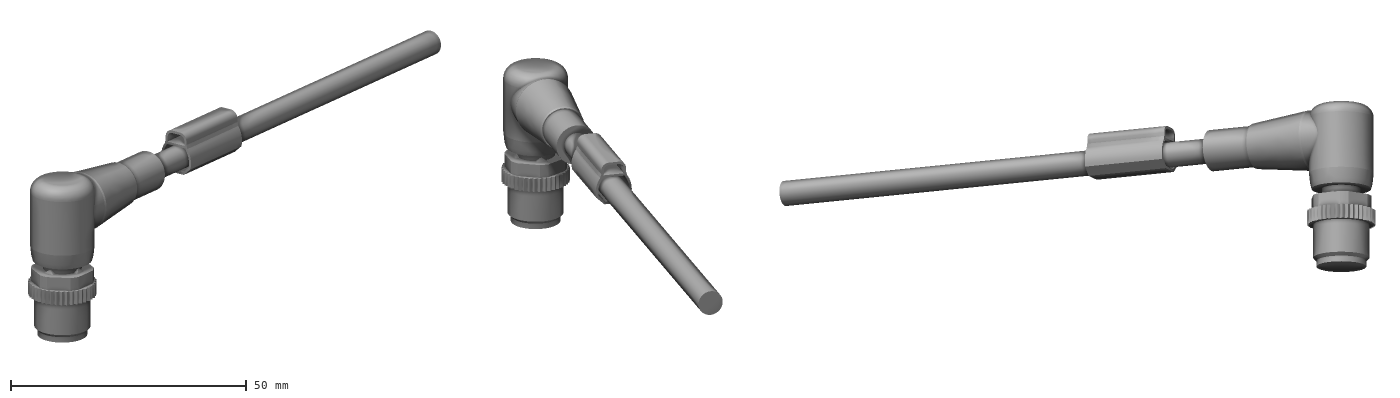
import cadquery as cq
import math

overall_length = 137.3
overall_height = 35.0

knurl_diameter = 14.5
knurl_root_diameter = 13.6
knurl_tooth_count = 40
knurl_bottom = 9.0
knurl_top = 12.1
nut_bottom = 1.2
nut_top = 15.0
sleeve_diameter = 12.0
sleeve_chamfer = 0.7
hex_across_flats = 12.4
hex_corner_diameter = 13.3

ridge_count = 4
ridge_height = 0.7
ridge_outer_radius = 5.0
ridge_top_radius = 4.4
ridge_base_width = 2.3
ridge_top_width = 0.4

neck_diameter = 8.2
carrier_foot_diameter = 10.6

elbow_diameter = 13.7
elbow_bottom = 16.9
elbow_bottom_diameter = 12.6
elbow_taper_height = 3.3
elbow_top_fillet = 2.7
cable_axis_z = 28.0
arm_diameter = 12.6
cone_start_y = 7.0
cone_end_y = 20.3
cone_large_diameter = 12.9
cone_small_diameter = 9.7
cone_end_diameter = 9.3
cone_bevel = 0.4
collar_diameter = 8.8
collar_end_y = 30.3

cable_diameter = 5.4
cable_end_y = overall_length - knurl_diameter / 2

marker_start_y = 40.1
marker_length = 18.0
marker_half_width = 4.0
marker_widest_z = 27.9
marker_bottom = 24.7
marker_bottom_half_width = 2.0
marker_lower_edge_z = 26.4
marker_lower_edge_half_width = 3.8
rail_half_width = 2.7
rail_corner_radius = 1.6
rail_top = 34.0
marker_wall = 0.5
web_bottom = 30.7
web_thickness = 0.5
rail_foot_z = 31.6
shoulder_z = 30.7
shoulder_half_width = 3.0


def upright_cylinder(diameter, bottom, top):
    return cq.Workplane("XY").workplane(offset=bottom).circle(diameter / 2).extrude(top - bottom)


def cable_cylinder(diameter, start_y, end_y):
    """Cylinder on the cable axis between two Y positions."""
    plane = cq.Plane(origin=(0, start_y, cable_axis_z), xDir=(-1, 0, 0), normal=(0, 1, 0))
    return cq.Workplane(plane).circle(diameter / 2).extrude(end_y - start_y)


def make_elbow():
    radius = elbow_diameter / 2
    bottom_radius = elbow_bottom_diameter / 2
    wall_bottom = elbow_bottom + elbow_taper_height
    head = (
        cq.Workplane("XZ")
        .moveTo(0, overall_height)
        .lineTo(-radius + elbow_top_fillet, overall_height)
        .radiusArc((-radius, overall_height - elbow_top_fillet), -elbow_top_fillet)
        .lineTo(-radius, wall_bottom)
        .tangentArcPoint((-bottom_radius, elbow_bottom), relative=False)
        .lineTo(0, elbow_bottom)
        .close()
        .revolve(360, (0, 0, 0), (0, 1, 0))
    )
    arm_radius = arm_diameter / 2
    collar_radius = collar_diameter / 2
    arm = (
        cq.Workplane("YZ")
        .polyline(
            [
                (0, 0),
                (0, arm_radius),
                (cone_start_y - cone_bevel, arm_radius),
                (cone_start_y, cone_large_diameter / 2),
                (cone_end_y - cone_bevel, cone_small_diameter / 2),
                (cone_end_y, cone_end_diameter / 2),
                (cone_end_y, collar_radius),
                (collar_end_y, collar_radius),
                (collar_end_y, 0),
            ]
        )
        .close()
        .revolve(360, (0, 0, 0), (1, 0, 0))
        .translate((0, 0, cable_axis_z))
    )
    cable_bore = cable_cylinder(cable_diameter, cone_end_y, collar_end_y)
    return head.union(arm).cut(cable_bore)


def make_cable():
    return cable_cylinder(cable_diameter, cone_end_y, cable_end_y)


def marker_outline():
    """Marker cross-section: a wide lower lobe carrying a narrow rail with rounded top corners."""
    inset = rail_corner_radius * (1 - math.sqrt(0.5))
    flat = rail_half_width - rail_corner_radius
    corner_z = rail_top - rail_corner_radius
    plane = cq.Plane(origin=(0, marker_start_y, 0), xDir=(-1, 0, 0), normal=(0, 1, 0))
    return (
        cq.Workplane(plane)
        .moveTo(0, rail_top)
        .lineTo(flat, rail_top)
        .threePointArc((rail_half_width - inset, rail_top - inset), (rail_half_width, corner_z))
        .lineTo(rail_half_width, rail_foot_z)
        .lineTo(shoulder_half_width, shoulder_z)
        .threePointArc(
            (marker_half_width, marker_widest_z), (marker_lower_edge_half_width, marker_lower_edge_z)
        )
        .lineTo(marker_bottom_half_width, marker_bottom)
        .lineTo(0, marker_bottom)
        .mirrorY()
    )


def make_marker():
    """Thin-walled sleeve: a web separates the label slot in the rail from the space for the cable."""
    cavity = marker_outline().offset2D(-marker_wall).extrude(marker_length)
    web = (
        cq.Workplane("XY")
        .workplane(offset=web_bottom)
        .center(0, marker_start_y + marker_length / 2)
        .rect(2 * marker_half_width, marker_length)
        .extrude(web_thickness)
    )
    return marker_outline().extrude(marker_length).cut(cavity.cut(web))


def make_knurl():
    """Ring with triangular teeth all round."""
    points = []
    for step in range(2 * knurl_tooth_count):
        angle = math.pi * step / knurl_tooth_count
        radius = (knurl_diameter if step % 2 == 0 else knurl_root_diameter) / 2
        points.append((radius * math.cos(angle), radius * math.sin(angle)))
    return (
        cq.Workplane("XY")
        .workplane(offset=knurl_bottom)
        .polyline(points)
        .close()
        .extrude(knurl_top - knurl_bottom)
    )


def make_ridge():
    """Ridge on the +X side of the nut's top, sloping down on its outer end and both flanks."""
    prism = (
        cq.Workplane("YZ")
        .polyline(
            [
                (-ridge_base_width / 2, nut_top),
                (ridge_base_width / 2, nut_top),
                (ridge_top_width / 2, nut_top + ridge_height),
                (-ridge_top_width / 2, nut_top + ridge_height),
            ]
        )
        .close()
        .extrude(ridge_outer_radius)
    )
    outer_cone = (
        cq.Workplane("XY")
        .workplane(offset=nut_top)
        .circle(ridge_outer_radius)
        .workplane(offset=ridge_height)
        .circle(ridge_top_radius)
        .loft()
    )
    return prism.intersect(outer_cone)


def make_nut():
    sleeve = upright_cylinder(sleeve_diameter, nut_bottom, knurl_bottom)
    sleeve = sleeve.faces("<Z").chamfer(sleeve_chamfer)
    hexagon = (
        cq.Workplane("XY")
        .workplane(offset=knurl_top)
        .polygon(6, hex_across_flats, circumscribed=True)
        .extrude(nut_top - knurl_top)
        .intersect(upright_cylinder(hex_corner_diameter, knurl_top, nut_top))
    )
    nut = sleeve.union(make_knurl()).union(hexagon)
    for index in range(ridge_count):
        nut = nut.union(make_ridge().rotate((0, 0, 0), (0, 0, 1), 360 / ridge_count * index))
    return nut.cut(upright_cylinder(neck_diameter, nut_bottom, elbow_bottom))


def make_carrier():
    neck = upright_cylinder(neck_diameter, nut_bottom, elbow_bottom)
    return neck.union(upright_cylinder(carrier_foot_diameter, 0, nut_bottom))


elbow = make_elbow()
cable = make_cable()
marker = make_marker()
nut = make_nut()
carrier = make_carrier()

result = cq.Compound.makeCompound(
    [elbow.val(), cable.val(), marker.val(), nut.val(), carrier.val()]
)